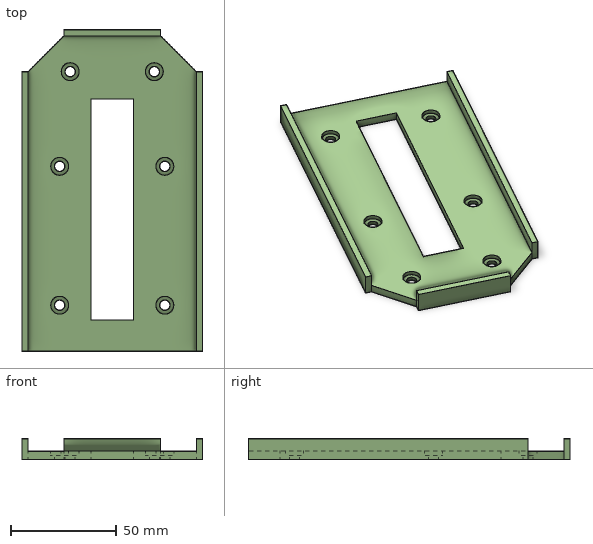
import cadquery as cq

width = 86.0
length = 153.0
height = 10.0
floor_thickness = 4.0
wall_thickness = 3.0

end_wall_width = 46.0
side_wall_length = 133.0

window_width = 20.0
window_start = 15.0
window_end = 120.0

hole_diameter = 4.8
counterbore_diameter = 8.5
counterbore_depth = 2.0
hole_rows = [(25.0, 22.0), (25.0, 88.0), (20.0, 133.0)]

inner_half_width = width / 2 - wall_thickness
end_half_width = end_wall_width / 2
floor_length = length - wall_thickness


def box(x_size, y_size, z_size, x_center, y_start):
    """Box resting on Z = 0, centred on x_center and running from y_start towards +Y."""
    return (
        cq.Workplane("XY")
        .box(x_size, y_size, z_size, centered=(True, False, False))
        .translate((x_center, y_start, 0))
    )


def floor_plate():
    """Flat floor with the two corners next to the end wall cut off at an angle."""
    outline = [
        (-inner_half_width, 0),
        (inner_half_width, 0),
        (inner_half_width, side_wall_length),
        (end_half_width, floor_length),
        (-end_half_width, floor_length),
        (-inner_half_width, side_wall_length),
    ]
    return cq.Workplane("XY").polyline(outline).close().extrude(floor_thickness)


def add_walls(body):
    """Two long side walls and the short wall across the closed end."""
    wall_center = (width - wall_thickness) / 2
    for side in (-1, 1):
        body = body.union(box(wall_thickness, side_wall_length, height, side * wall_center, 0))
    return body.union(box(end_wall_width, wall_thickness, height, 0, floor_length))


def cut_window(body):
    """Long rectangular opening through the floor."""
    return body.cut(box(window_width, window_end - window_start, floor_thickness, 0, window_start))


def cut_screw_holes(body):
    """Mirrored pairs of through holes, counterbored from the top of the floor."""
    points = [(side * x, y) for x, y in hole_rows for side in (-1, 1)]
    return (
        body.copyWorkplane(cq.Workplane("XY", origin=(0, 0, floor_thickness)))
        .pushPoints(points)
        .cboreHole(hole_diameter, counterbore_diameter, counterbore_depth)
    )


result = cut_screw_holes(cut_window(add_walls(floor_plate())))